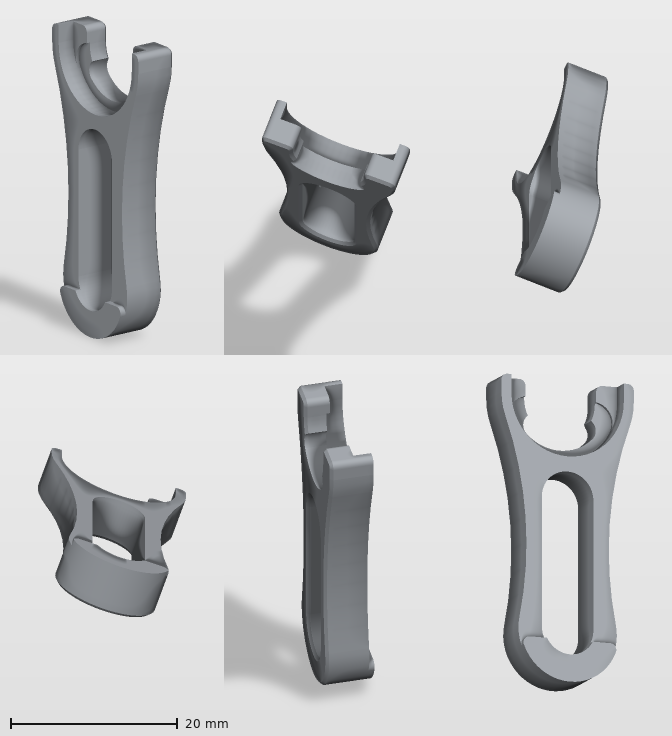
import cadquery as cq
import math

height = 37.35
body_depth = 5.35
head_width = 17.07
head_center_z = 35.07
foot_radius = 6.35
waist_radius = 45.55
corner_radius = 0.8
back_chamfer = 0.37

mouth_radius = 4.55
groove_outer_radius = 6.0
groove_end_angle = 45.0
recess_radius = 7.25
recess_depth = 2.2
pocket_end_radius = 2.45
pocket_end_angle = 28.0
pocket_depth = 2.65

slot_radius = 3.32
slot_bottom_z = 3.35
slot_top_z = 25.95

pad_height = 0.75
pad_top_z = 5.15

head_radius = head_width / 2
foot_center_z = foot_radius
total_depth = body_depth + pad_height


def front_plane(y):
    """Sketch plane at depth y with local axes X and Z; positive extrusion runs toward -Y."""
    return cq.Workplane("XZ", origin=(0, y, 0))


def head_point(radius, angle):
    """Point on a circle about the head center, angle in degrees below the horizontal (+X side)."""
    a = math.radians(angle)
    return (radius * math.cos(a), head_center_z - radius * math.sin(a))


def mirrored(point):
    return (-point[0], point[1])


def waist_center():
    """Center of the +X waist arc, tangent from outside to the head and foot circles."""
    to_head = head_radius + waist_radius
    to_foot = foot_radius + waist_radius
    span = head_center_z - foot_center_z
    rise = (to_foot**2 - to_head**2 + span**2) / (2 * span)
    return (math.sqrt(to_foot**2 - rise**2), foot_center_z + rise)


def make_blank():
    """Full-depth blank: straight head sides, rounded head, concave waist and round foot."""
    waist_x, waist_z = waist_center()
    head_share = head_radius / (head_radius + waist_radius)
    foot_share = foot_radius / (foot_radius + waist_radius)
    head_tangent = (waist_x * head_share, head_center_z + (waist_z - head_center_z) * head_share)
    foot_tangent = (waist_x * foot_share, foot_center_z + (waist_z - foot_center_z) * foot_share)
    waist_middle = (waist_x - waist_radius, waist_z)
    head_angle = math.degrees(math.atan2(head_center_z - head_tangent[1], head_tangent[0]))
    head_middle = head_point(head_radius, head_angle / 2)
    return (
        front_plane(body_depth)
        .moveTo(head_radius, height)
        .lineTo(head_radius, head_center_z)
        .threePointArc(head_middle, head_tangent)
        .threePointArc(waist_middle, foot_tangent)
        .threePointArc((0, 0), mirrored(foot_tangent))
        .threePointArc(mirrored(waist_middle), mirrored(head_tangent))
        .threePointArc(mirrored(head_middle), (-head_radius, head_center_z))
        .lineTo(-head_radius, height)
        .close()
        .extrude(total_depth)
    )


def u_cutter(radius, depth):
    """Open-topped U around the head center, cut from the front face to the given depth."""
    return (
        front_plane(depth)
        .moveTo(-radius, height)
        .lineTo(-radius, head_center_z)
        .threePointArc((0, head_center_z - radius), (radius, head_center_z))
        .lineTo(radius, height)
        .close()
        .extrude(depth)
    )


def kidney_cutter(outer_radius, end_radius, end_angle, depth):
    """Curved slot under the head center whose round ends are tangent inside the outer radius."""
    middle_radius = outer_radius - end_radius
    inner_radius = middle_radius - end_radius
    outer_end = head_point(outer_radius, end_angle)
    inner_end = head_point(inner_radius, end_angle)
    end_x, end_z = head_point(middle_radius, end_angle)
    tilt = math.radians(end_angle)
    tip = (end_x + end_radius * math.sin(tilt), end_z + end_radius * math.cos(tilt))
    return (
        front_plane(depth)
        .moveTo(*outer_end)
        .threePointArc((0, head_center_z - outer_radius), mirrored(outer_end))
        .threePointArc(mirrored(tip), mirrored(inner_end))
        .threePointArc((0, head_center_z - inner_radius), inner_end)
        .threePointArc(tip, outer_end)
        .close()
        .extrude(depth)
    )


def slot_cutter():
    """Round-ended handle window through the full depth."""
    return (
        front_plane(body_depth)
        .center(0, (slot_top_z + slot_bottom_z) / 2)
        .slot2D(slot_top_z - slot_bottom_z, 2 * slot_radius, 90)
        .extrude(total_depth)
    )


def front_layer_cutter():
    """Front layer above the pad; the pad corners are arcs tangent to its top edge and the foot rim."""
    corner_z = pad_top_z - corner_radius
    corner_reach = foot_radius - corner_radius
    corner_x = math.sqrt(corner_reach**2 - (corner_z - foot_center_z) ** 2)
    rim_share = foot_radius / corner_reach
    rim_end = (corner_x * rim_share, foot_center_z + (corner_z - foot_center_z) * rim_share)
    diagonal = corner_radius * math.sqrt(0.5)
    corner_middle = (corner_x + diagonal, corner_z + diagonal)
    return (
        front_plane(0)
        .moveTo(-head_radius, height)
        .lineTo(-head_radius, rim_end[1])
        .lineTo(*mirrored(rim_end))
        .threePointArc(mirrored(corner_middle), (-corner_x, pad_top_z))
        .lineTo(corner_x, pad_top_z)
        .threePointArc(corner_middle, rim_end)
        .lineTo(head_radius, rim_end[1])
        .lineTo(head_radius, height)
        .close()
        .extrude(pad_height)
    )


body = make_blank().cut(front_layer_cutter()).cut(slot_cutter()).cut(u_cutter(mouth_radius, body_depth))

body = body.edges("|Y").edges(">Z").fillet(corner_radius)
body = body.faces(">Y").chamfer(back_chamfer)

groove_end_radius = groove_outer_radius - mouth_radius
groove = kidney_cutter(groove_outer_radius, groove_end_radius, groove_end_angle, body_depth)
recess = u_cutter(recess_radius, recess_depth)
pocket = kidney_cutter(recess_radius, pocket_end_radius, pocket_end_angle, pocket_depth)

result = body.cut(groove).cut(recess).cut(pocket)